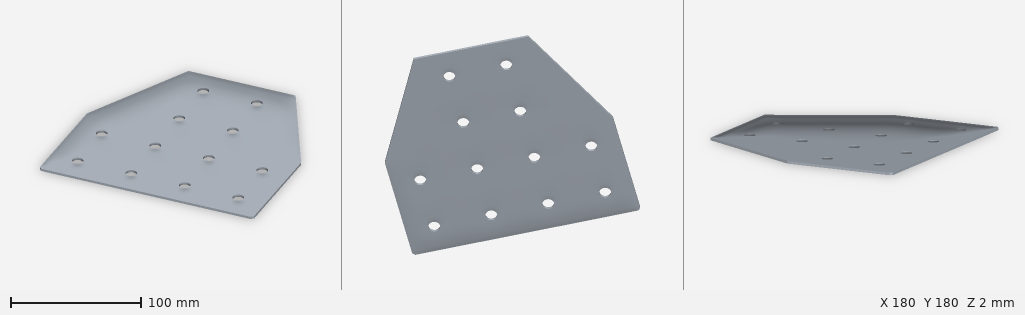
import cadquery as cq

hole_pitch = 45.0
thickness = 2.0
hole_diameter = 9.0
corner_chamfer = 2.0

cells_per_side = 4
side = cells_per_side * hole_pitch
half_side = side / 2
half_top_width = hole_pitch


def make_plate():
    """Flat plate: a full-width lower half tapering to a narrower top edge."""
    outline = [
        (-half_side, -half_side),
        (half_side, -half_side),
        (half_side, 0),
        (half_top_width, half_side),
        (-half_top_width, half_side),
        (-half_side, 0),
    ]
    plate = cq.Workplane("XY").polyline(outline).close().extrude(thickness)
    return plate.edges("|Z and <Y").chamfer(corner_chamfer)


def hole_centres():
    """Two full lower rows of holes, and only the middle pair in the upper rows."""
    centres = []
    for row in range(cells_per_side):
        for column in range(cells_per_side):
            x = (column + 0.5) * hole_pitch - half_side
            y = (row + 0.5) * hole_pitch - half_side
            in_lower_half = y < 0
            in_middle_columns = abs(x) < half_top_width
            if in_lower_half or in_middle_columns:
                centres.append((x, y))
    return centres


def drill_holes(plate):
    """Through holes for the mounting screws."""
    cutters = cq.Workplane("XY").pushPoints(hole_centres()).circle(hole_diameter / 2).extrude(thickness)
    return plate.cut(cutters)


result = drill_holes(make_plate())